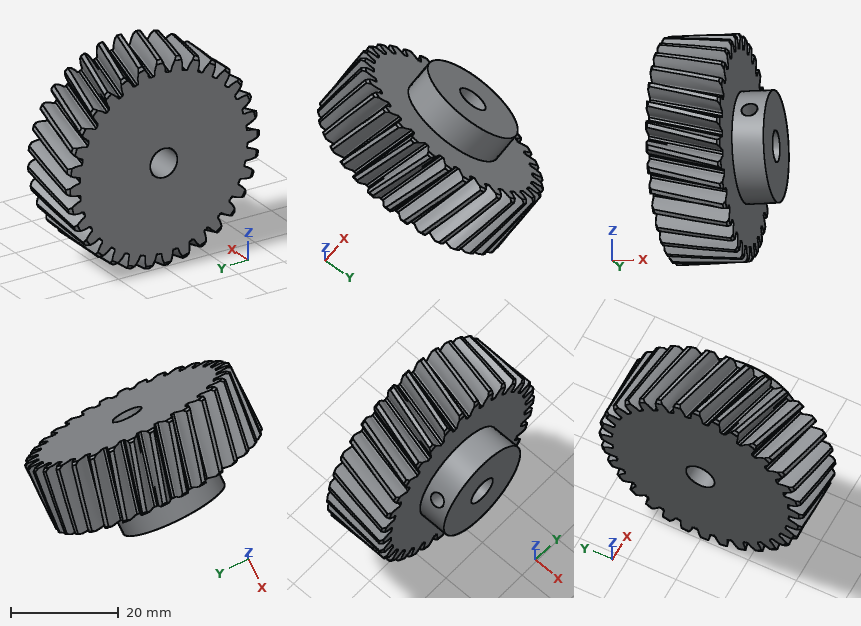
import cadquery as cq
import math

TOOTH_COUNT = 32
OUTER_DIAMETER = 42.5
MODULE = OUTER_DIAMETER / (TOOTH_COUNT + 2)
DEDENDUM = 1.25 * MODULE
PRESSURE_ANGLE = math.radians(20)
HELIX_ANGLE = math.radians(15)
FIRST_TOOTH_ANGLE = math.radians(-2.4)
ROOT_FILLET = 0.35
FLANK_STEPS = 6
ARC_MIDDLE = 1 - math.sqrt(0.5)

FACE_WIDTH = 14.02
TOTAL_LENGTH = 20.0
CHAMFER_LENGTH = 0.42
CHAMFER_DEPTH = 0.7

HUB_DIAMETER = 21.0
BORE_DIAMETER = 5.95
SCREW_HOLE_DIAMETER = 3.0
SCREW_HOLE_DEPTH = 4.0
SCREW_HOLE_COUNT = 2
FIRST_SCREW_ANGLE = 14.3
SCREW_ANGLE_STEP = 135

tip_radius = OUTER_DIAMETER / 2
pitch_radius = MODULE * TOOTH_COUNT / 2
root_radius = pitch_radius - DEDENDUM
transverse_pressure_angle = math.atan(math.tan(PRESSURE_ANGLE) / math.cos(HELIX_ANGLE))
base_radius = pitch_radius * math.cos(transverse_pressure_angle)
flank_start_radius = root_radius + ROOT_FILLET
tooth_pitch = 2 * math.pi / TOOTH_COUNT
helix_twist = math.degrees(FACE_WIDTH * math.tan(HELIX_ANGLE) / pitch_radius)


def polar(radius, angle):
    return (radius * math.cos(angle), radius * math.sin(angle))


def half_tooth_angle(radius):
    """Half of the angle that a tooth spans at a radius on its involute flank."""
    pressure = math.acos(base_radius / radius)
    involute = math.tan(pressure) - pressure
    pitch_involute = math.tan(transverse_pressure_angle) - transverse_pressure_angle
    return tooth_pitch / 4 + pitch_involute - involute


fillet_angle = ROOT_FILLET / root_radius
root_start = half_tooth_angle(flank_start_radius) + fillet_angle


def add_tooth(outline, center):
    """Continue the outline up one flank, over the tip, down the other flank and along the root."""
    flank_step = (tip_radius - flank_start_radius) / FLANK_STEPS
    radii = [flank_start_radius + flank_step * i for i in range(FLANK_STEPS + 1)]
    rising = [polar(r, center - half_tooth_angle(r)) for r in radii]
    falling = [polar(r, center + half_tooth_angle(r)) for r in reversed(radii)]
    fillet_middle_radius = root_radius + ROOT_FILLET * ARC_MIDDLE
    fillet_middle = half_tooth_angle(flank_start_radius) + fillet_angle * ARC_MIDDLE
    return (
        outline.threePointArc(polar(fillet_middle_radius, center - fillet_middle), rising[0])
        .spline(rising[1:], includeCurrent=True)
        .threePointArc(polar(tip_radius, center), falling[0])
        .spline(falling[1:], includeCurrent=True)
        .threePointArc(
            polar(fillet_middle_radius, center + fillet_middle),
            polar(root_radius, center + root_start),
        )
        .threePointArc(
            polar(root_radius, center + tooth_pitch / 2),
            polar(root_radius, center + tooth_pitch - root_start),
        )
    )


def helical_teeth():
    outline = cq.Workplane("YZ").moveTo(*polar(root_radius, FIRST_TOOTH_ANGLE - root_start))
    for i in range(TOOTH_COUNT):
        outline = add_tooth(outline, FIRST_TOOTH_ANGLE + i * tooth_pitch)
    return outline.close().twistExtrude(FACE_WIDTH, helix_twist)


def chamfered_blank():
    """Disc whose bevelled rims trim the tooth ends."""
    rim_radius = tip_radius - CHAMFER_DEPTH
    return (
        cq.Workplane("XY")
        .polyline(
            [
                (0, 0),
                (0, rim_radius),
                (CHAMFER_LENGTH, tip_radius),
                (FACE_WIDTH - CHAMFER_LENGTH, tip_radius),
                (FACE_WIDTH, rim_radius),
                (FACE_WIDTH, 0),
            ]
        )
        .close()
        .revolve(360, (0, 0, 0), (1, 0, 0))
    )


def screw_hole(angle):
    """Blind radial hole in the hub, at an angle from +Y towards +Z."""
    hole_x = (FACE_WIDTH + TOTAL_LENGTH) / 2
    floor_radius = HUB_DIAMETER / 2 - SCREW_HOLE_DEPTH
    return (
        cq.Workplane("XY", origin=(hole_x, 0, 0))
        .transformed(rotate=(angle - 90, 0, 0))
        .workplane(offset=floor_radius)
        .circle(SCREW_HOLE_DIAMETER / 2)
        .extrude(HUB_DIAMETER)
    )


hub = cq.Workplane("YZ").circle(HUB_DIAMETER / 2).extrude(TOTAL_LENGTH)
bore = cq.Workplane("YZ").circle(BORE_DIAMETER / 2).extrude(TOTAL_LENGTH)

result = helical_teeth().intersect(chamfered_blank()).union(hub).cut(bore)
for i in range(SCREW_HOLE_COUNT):
    result = result.cut(screw_hole(FIRST_SCREW_ANGLE + i * SCREW_ANGLE_STEP))